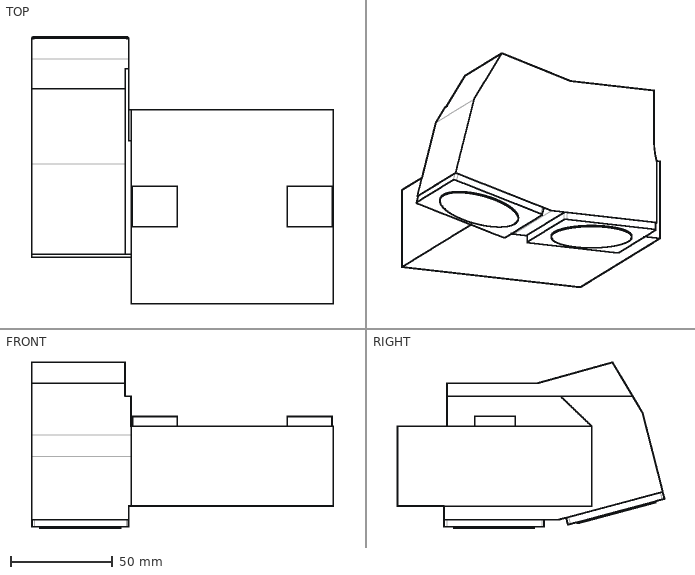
import cadquery as cq
import math


BLOCK_LEFT = 49.2
BLOCK_RIGHT = 149.0
BLOCK_DEPTH = 96.0
BLOCK_BOTTOM = 10.9
BLOCK_HEIGHT = 39.5
BLOCK_TOP = BLOCK_BOTTOM + BLOCK_HEIGHT
PAD_LENGTH = 22.2
PAD_WIDTH = 20.0
PAD_HEIGHT = 4.9
PAD_INSET = 0.6
PAD_CENTER_Y = 48.1

TILT = 15.0
HEAD_WIDTH = 48.0
HEAD_BOTTOM = 4.2
HEAD_TOP = 71.7
HEAD_FRONT = 23.0
FRONT_RECESS = 1.5
RECESS_TOP_Z = 46.2
RECESS_BOTTOM_Z = 35.5
TOP_BEND_Y = 69.3
BOTTOM_BEND_Y = 79.7
PEAK = (106.2, 82.0)
REAR_BEND = (121.1, 56.9)
REAR_CORNER_Y = 131.1

LEDGE_X = 46.2
LEDGE_Z = 65.3
FLANGE_BACK_Y = 80.5

PLATE_INSET = 0.07
PLATE_WIDTH = HEAD_WIDTH - 2 * PLATE_INSET
PLATE_LENGTH = 49.5
PLATE_THICKNESS = 3.6
PLATE_CORNER_RADIUS = 1.27
LENS_DIAMETER = 40.0
LENS_THICKNESS = HEAD_BOTTOM - PLATE_THICKNESS

tilt_slope = math.tan(math.radians(TILT))
rear_corner_z = HEAD_BOTTOM + (REAR_CORNER_Y - BOTTOM_BEND_Y) * tilt_slope


def box(x_min, x_max, y_min, y_max, z_min, z_max):
    """Axis-aligned box between two opposite corners."""
    return cq.Workplane("XY").box(
        x_max - x_min, y_max - y_min, z_max - z_min, centered=False
    ).translate((x_min, y_min, z_min))


def make_head_profile():
    """Closed side outline of the head in the YZ plane at X = 0."""
    recess_y = HEAD_FRONT + FRONT_RECESS
    rise = RECESS_TOP_Z - RECESS_BOTTOM_Z
    blend_radius = (rise**2 + FRONT_RECESS**2) / (2 * FRONT_RECESS)
    half_rise = rise / 2
    blend_mid_y = recess_y - blend_radius + math.sqrt(blend_radius**2 - half_rise**2)
    return (
        cq.Workplane("YZ")
        .moveTo(HEAD_FRONT, HEAD_BOTTOM)
        .lineTo(BOTTOM_BEND_Y, HEAD_BOTTOM)
        .lineTo(REAR_CORNER_Y, rear_corner_z)
        .lineTo(*REAR_BEND)
        .lineTo(*PEAK)
        .lineTo(TOP_BEND_Y, HEAD_TOP)
        .lineTo(recess_y, HEAD_TOP)
        .lineTo(recess_y, RECESS_TOP_Z)
        .threePointArc((blend_mid_y, RECESS_TOP_Z - half_rise), (HEAD_FRONT, RECESS_BOTTOM_Z))
        .close()
    )


def make_head():
    """Head with a stepped upper edge and a flange reaching the base block."""
    head = make_head_profile().extrude(HEAD_WIDTH)
    step = box(LEDGE_X, HEAD_WIDTH, 0, REAR_CORNER_Y, LEDGE_Z, PEAK[1])

    flange_limit = (
        cq.Workplane("YZ")
        .polyline([
            (HEAD_FRONT, BLOCK_BOTTOM),
            (BLOCK_DEPTH, BLOCK_BOTTOM),
            (BLOCK_DEPTH, BLOCK_TOP),
            (FLANGE_BACK_Y, LEDGE_Z),
            (HEAD_FRONT, LEDGE_Z),
        ])
        .close()
        .extrude(BLOCK_LEFT)
    )
    flange = make_head_profile().extrude(BLOCK_LEFT).intersect(flange_limit)
    return head.cut(step).union(flange)


def make_lens_plate():
    """Rounded plate with its lens, hanging below Z = 0 and starting at Y = 0."""
    center = (PLATE_WIDTH / 2, PLATE_LENGTH / 2)
    plate = (
        box(0, PLATE_WIDTH, 0, PLATE_LENGTH, -PLATE_THICKNESS, 0)
        .edges("|Z")
        .fillet(PLATE_CORNER_RADIUS)
    )
    lens = (
        cq.Workplane("XY", origin=(0, 0, -PLATE_THICKNESS))
        .center(*center)
        .circle(LENS_DIAMETER / 2)
        .extrude(-LENS_THICKNESS)
    )
    return plate.union(lens)


def make_base():
    """Base block with a pad near each end of its top face."""
    base = box(BLOCK_LEFT, BLOCK_RIGHT, 0, BLOCK_DEPTH, BLOCK_BOTTOM, BLOCK_TOP)
    pad_starts = (BLOCK_LEFT + PAD_INSET, BLOCK_RIGHT - PAD_INSET - PAD_LENGTH)
    for x_start in pad_starts:
        pad = box(
            x_start,
            x_start + PAD_LENGTH,
            PAD_CENTER_Y - PAD_WIDTH / 2,
            PAD_CENTER_Y + PAD_WIDTH / 2,
            BLOCK_TOP,
            BLOCK_TOP + PAD_HEIGHT,
        )
        base = base.union(pad)
    return base


front_plate = make_lens_plate().translate((PLATE_INSET, HEAD_FRONT + PLATE_INSET, HEAD_BOTTOM))
rear_plate = (
    make_lens_plate()
    .translate((PLATE_INSET, -PLATE_LENGTH - PLATE_INSET, 0))
    .rotate((0, 0, 0), (1, 0, 0), TILT)
    .translate((0, REAR_CORNER_Y, rear_corner_z))
)

result = make_head().union(front_plate).union(rear_plate).union(make_base())